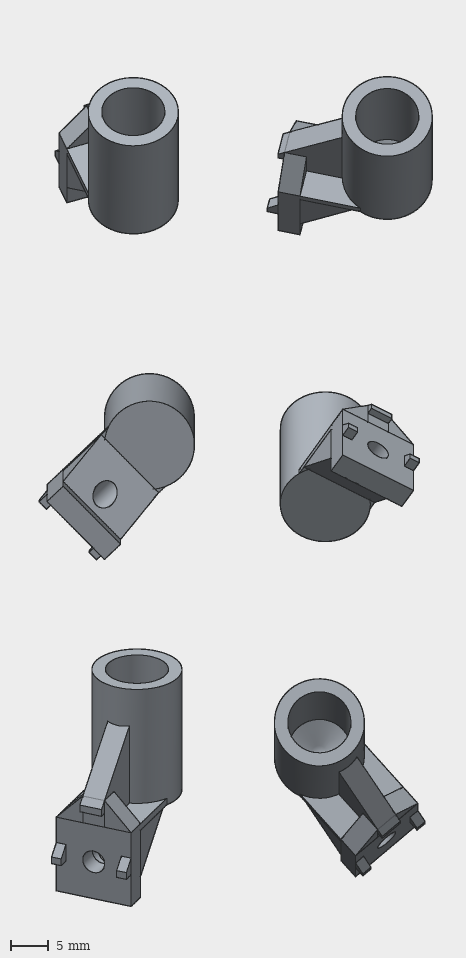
import cadquery as cq
import math

width = 11.0
plate_height = 11.0
plate_thickness = 3.0
shelf_thickness = 0.98
screw_hole_diameter = 3.2
shelf_bottom = plate_height - shelf_thickness

tube_diameter = 12.0
tube_x = 13.65
tube_bottom = shelf_bottom
tube_top = 28.0
bore_diameter = 8.4
cone_tip_height = shelf_thickness
cone_height = 2.52

rib_width = screw_hole_diameter
wing_height = 3.98
rib_front_top = plate_height + wing_height
rib_tube_top = 22.55
rib_tube_x = tube_x - math.sqrt((tube_diameter / 2) ** 2 - (rib_width / 2) ** 2)
rib_hook_depth = 0.92
hook_lip = 1.0

catch_depth = 1.48
catch_width = 1.43
catch_bottom = 4.73

wedge_length = 7.05
wedge_drop = 6.92


def extrude_across(points, thickness, center_y=0.0):
    """Extrude an XZ outline along Y, centred on center_y."""
    outline = cq.Workplane("XZ").polyline(points).close()
    return outline.extrude(thickness / 2, both=True).translate((0, center_y, 0))


def tube_cylinder():
    base = cq.Workplane("XY", origin=(tube_x, 0, tube_bottom))
    return base.circle(tube_diameter / 2).extrude(tube_top - tube_bottom)


def screw_hole():
    hole_length = plate_thickness + wedge_length
    hole = cq.Workplane("YZ").center(0, plate_height / 2)
    return hole.circle(screw_hole_diameter / 2).extrude(hole_length)


def make_tube():
    cone_tip = tube_bottom + cone_tip_height
    bore = (
        cq.Workplane("XZ")
        .moveTo(0, cone_tip)
        .lineTo(bore_diameter / 2, cone_tip + cone_height)
        .lineTo(bore_diameter / 2, tube_top)
        .lineTo(0, tube_top)
        .close()
        .revolve(360, (0, 0, 0), (0, 1, 0))
        .translate((tube_x, 0, 0))
    )
    return tube_cylinder().cut(bore)


def make_bracket():
    outline = [
        (0, 0),
        (plate_thickness, 0),
        (plate_thickness, shelf_bottom),
        (tube_x, shelf_bottom),
        (tube_x, plate_height),
        (0, plate_height),
    ]
    return extrude_across(outline, width).cut(tube_cylinder()).cut(screw_hole())


def make_wedge():
    outline = [
        (plate_thickness, shelf_bottom),
        (plate_thickness + wedge_length, shelf_bottom),
        (plate_thickness, shelf_bottom - wedge_drop),
    ]
    return extrude_across(outline, width).cut(screw_hole())


def make_rib():
    """Sloped rib that fits the tube wall, in one piece with its front hook."""
    hook_tip = rib_front_top - rib_hook_depth
    outline = [
        (0, plate_height),
        (rib_tube_x, plate_height),
        (rib_tube_x, rib_tube_top),
        (0, rib_front_top),
        (-rib_hook_depth, hook_tip),
        (-rib_hook_depth, hook_tip - hook_lip),
        (0, hook_tip - hook_lip),
    ]
    return extrude_across(outline, rib_width).cut(tube_cylinder())


def make_wing(side):
    """Triangular block on top of the plate, beside the rib; side is -1 or 1."""
    outline = [
        (side * rib_width / 2, plate_height),
        (side * width / 2, plate_height),
        (side * rib_width / 2, plate_height + wing_height),
    ]
    return cq.Workplane("YZ").polyline(outline).close().extrude(plate_thickness)


def make_catch(side):
    """Side catch with a 45 degree top; side is -1 or 1."""
    lip_top = catch_bottom + hook_lip
    outline = [
        (0, catch_bottom),
        (0, lip_top + catch_depth),
        (-catch_depth, lip_top),
        (-catch_depth, catch_bottom),
    ]
    return extrude_across(outline, catch_width, side * (width - catch_width) / 2)


tube = make_tube()
bracket = make_bracket()
wedge = make_wedge()
rib = make_rib()
wings = [make_wing(side) for side in (-1, 1)]
catches = [make_catch(side) for side in (-1, 1)]

bodies = [tube, bracket, wedge, rib, *wings, *catches]
result = cq.Compound.makeCompound([body.val() for body in bodies])